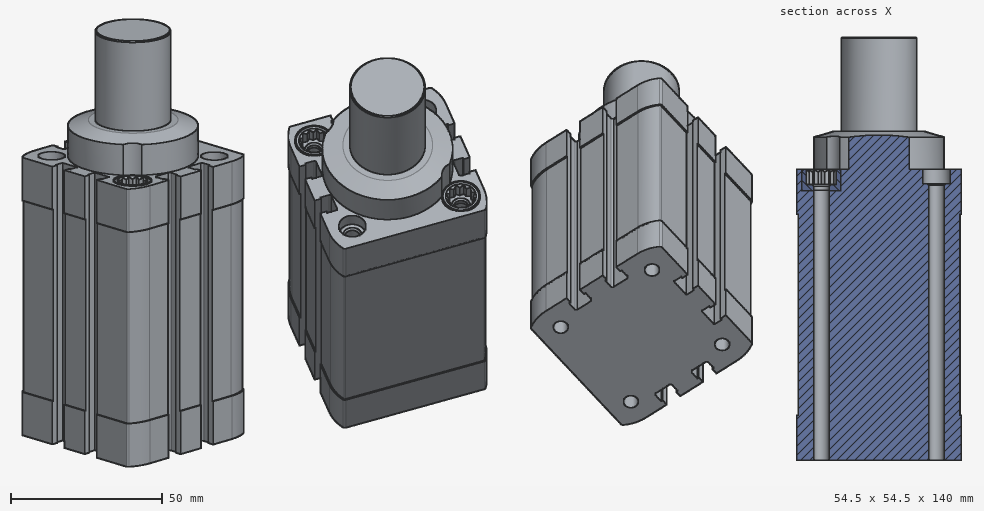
import cadquery as cq
import math

total_height = 140.0
width = 54.5
housing_height = 96.3
cap_height = 15.0
waist_inset = 0.4

corner_radius = 15.0
corner_start = 19.0
edge_fillet = 1.0

collar_diameter = 43.1
collar_edge_height = 107.0
collar_top_height = 108.9
collar_top_diameter = 29.7
rod_diameter = 25.0
rod_chamfer = 0.4

groove_offset = 7.5
mouth_width = 5.6
lip_thickness = 2.2
inner_width = 6.9
side_groove_depth = 5.9
front_groove_depth = 5.3
groove_corner_radius = 0.7

hole_offset = 19.0
through_diameter = 4.9
countersink_diameter = 6.2
plain_bore_diameter = 9.0
plain_bore_depth = 4.8
screw_bore_diameter = 12.7

screw_height = 7.0
screw_chamfer = 0.4
socket_points = 12
socket_outer_diameter = 9.8
socket_inner_diameter = 8.3
socket_rim_diameter = 10.1
socket_depth = 5.0

screw_positions = [(-hole_offset, hole_offset), (hole_offset, -hole_offset)]
plain_positions = [(-hole_offset, -hole_offset), (hole_offset, hole_offset)]


def cylinder(diameter, bottom, top):
    return cq.Workplane("XY").workplane(offset=bottom).circle(diameter / 2).extrude(top - bottom)


def countersink(wide_diameter, narrow_diameter, top):
    """A 45 degree cone that narrows downward from the given height."""
    wide = wide_diameter / 2
    narrow = narrow_diameter / 2
    profile = [(0, top), (wide, top), (narrow, top - (wide - narrow)), (0, top - (wide - narrow))]
    return cq.Workplane("XZ").polyline(profile).close().revolve(360, (0, 0, 0), (0, 1, 0))


def housing_block(inset, bottom, top):
    """A square prism with bulged corners, shrunk on every side by the inset."""
    half = width / 2 - inset
    radius = corner_radius - inset
    arc_center = width / 2 - corner_radius
    end_angle = math.asin((half - corner_start) / radius)
    end_x = arc_center + radius * math.cos(end_angle)
    mid_x = arc_center + radius * math.cos(end_angle / 2)
    mid_y = corner_start + radius * math.sin(end_angle / 2)
    block = (
        cq.Workplane("XY")
        .workplane(offset=bottom)
        .moveTo(half, -corner_start)
        .lineTo(half, corner_start)
        .threePointArc((mid_x, mid_y), (end_x, half))
        .lineTo(-end_x, half)
        .threePointArc((-mid_x, mid_y), (-half, corner_start))
        .lineTo(-half, -corner_start)
        .threePointArc((-mid_x, -mid_y), (-end_x, -half))
        .lineTo(end_x, -half)
        .threePointArc((mid_x, -mid_y), (half, -corner_start))
        .close()
        .extrude(top - bottom)
    )
    return block.edges("|Z").edges(">Y or <Y").fillet(edge_fillet - inset)


def groove_pair(depth, floor_radius):
    """Two full-height T grooves in the front (-Y) face."""
    face = -width / 2
    pair = cq.Workplane("XY")
    for offset in (-groove_offset, groove_offset):
        mouth = cq.Workplane("XY").box(mouth_width, depth, housing_height, centered=(True, False, False))
        inner = cq.Workplane("XY").box(
            inner_width, depth - lip_thickness, housing_height, centered=(True, False, False)
        )
        if floor_radius > 0:
            inner = inner.edges("|Z and >Y").fillet(floor_radius)
        groove = mouth.union(inner.translate((0, lip_thickness, 0)))
        pair = pair.add(groove.translate((offset, face, 0)))
    return pair.combine()


def make_collar_and_rod():
    rod_radius = rod_diameter / 2
    return (
        cq.Workplane("XZ")
        .moveTo(0, housing_height)
        .lineTo(collar_diameter / 2, housing_height)
        .lineTo(collar_diameter / 2, collar_edge_height)
        .lineTo(collar_top_diameter / 2, collar_top_height)
        .lineTo(rod_radius, collar_top_height)
        .lineTo(rod_radius, total_height - rod_chamfer)
        .lineTo(rod_radius - rod_chamfer, total_height)
        .lineTo(0, total_height)
        .close()
        .revolve(360, (0, 0, 0), (0, 1, 0))
    )


def make_housing():
    housing = housing_block(0, 0, cap_height)
    housing = housing.union(housing_block(waist_inset, cap_height, housing_height - cap_height))
    housing = housing.union(housing_block(0, housing_height - cap_height, housing_height))

    housing = housing.cut(groove_pair(front_groove_depth, 0))
    side_grooves = groove_pair(side_groove_depth, groove_corner_radius)
    for angle in (90, -90):
        housing = housing.cut(side_grooves.rotate((0, 0, 0), (0, 0, 1), angle))

    housing = housing.union(make_collar_and_rod())

    through_hole = cylinder(through_diameter, 0, housing_height)
    screw_bore = cylinder(screw_bore_diameter, housing_height - screw_height, collar_top_height)
    for x, y in screw_positions:
        housing = housing.cut(through_hole.translate((x, y, 0)))
        housing = housing.cut(screw_bore.translate((x, y, 0)))

    bore_floor = housing_height - plain_bore_depth
    plain_bore = cylinder(plain_bore_diameter, bore_floor, housing_height)
    bore_countersink = countersink(countersink_diameter, through_diameter, bore_floor)
    for x, y in plain_positions:
        housing = housing.cut(through_hole.translate((x, y, 0)))
        housing = housing.cut(plain_bore.translate((x, y, 0)))
        housing = housing.cut(bore_countersink.translate((x, y, 0)))
    return housing


def socket_outline():
    """The corners of a twelve-pointed star."""
    corners = []
    for step in range(2 * socket_points):
        radius = (socket_outer_diameter if step % 2 == 0 else socket_inner_diameter) / 2
        angle = math.pi * step / socket_points
        corners.append((radius * math.cos(angle), radius * math.sin(angle)))
    return corners


def make_screw():
    """A hollow screw with a star socket, its top flush with the housing."""
    bottom = housing_height - screw_height
    socket_floor = housing_height - socket_depth
    socket = (
        cq.Workplane("XY")
        .workplane(offset=socket_floor)
        .polyline(socket_outline())
        .close()
        .extrude(socket_depth)
    )
    screw = cylinder(screw_bore_diameter, bottom, housing_height).faces(">Z").chamfer(screw_chamfer)
    screw = screw.cut(socket)
    screw = screw.cut(countersink(socket_rim_diameter, socket_inner_diameter, housing_height))
    screw = screw.cut(cylinder(through_diameter, bottom, housing_height))
    return screw.cut(countersink(countersink_diameter, through_diameter, socket_floor))


housing = make_housing()
screws = cq.Workplane("XY")
for x, y in screw_positions:
    screws = screws.add(make_screw().translate((x, y, 0)))

result = cq.Compound.makeCompound([housing.val(), *screws.vals()])